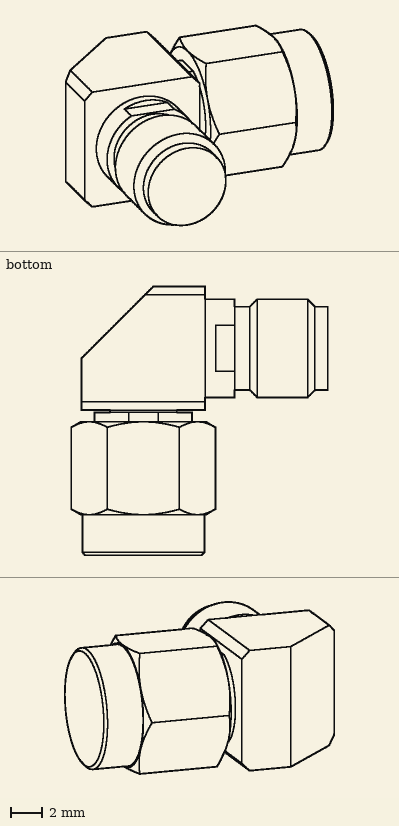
import cadquery as cq
import math


block_side = 7.93
block_height = 8.0
corner_cut = 4.6
block_chamfer = 0.53
block_half = block_side / 2

neck_diameter = 4.31
neck_length = 0.14
collar_diameter = 6.28
collar_length = 0.6
collar_across_flats = 5.98

nut_across_flats = 8.02
hex_length = 5.97
nut_length = 8.57
nose_diameter = 7.85
nose_chamfer = 0.19
hex_chamfer_angle = 30.0
nut_start = block_half + neck_length + collar_length

jack_diameter = 6.31
jack_neck_diameter = 5.36
jack_across_flats = 5.57
flange_length = 0.67
flats_length = 1.2
jack_neck_length = 0.98
cone_length = (jack_diameter - jack_neck_diameter) / 2
barrel_length = 3.22
tip_length = 0.83


def cylinder_along_y(start, diameter, length):
    return cq.Workplane("XZ", origin=(0, start, 0)).circle(diameter / 2).extrude(-length)


def make_collar():
    start = block_half + neck_length
    collar = cylinder_along_y(start, collar_diameter, collar_length)
    flats = cq.Workplane("XY").box(
        collar_diameter, 2 * (start + collar_length), collar_across_flats
    )
    return collar.intersect(flats)


def make_elbow():
    block = cq.Workplane("XY").box(block_side, block_side, block_height)
    block = block.edges("|X").chamfer(block_chamfer)
    corner = (
        cq.Workplane("XY", origin=(0, 0, -block_height / 2))
        .moveTo(-block_half, -block_half)
        .lineTo(-block_half + corner_cut, -block_half)
        .lineTo(-block_half, -block_half + corner_cut)
        .close()
        .extrude(block_height)
    )
    neck = cylinder_along_y(block_half, neck_diameter, neck_length)
    return block.cut(corner).union(neck).union(make_collar())


def make_nut():
    across_corners = nut_across_flats / math.cos(math.radians(30))
    hexagon = (
        cq.Workplane("XZ", origin=(0, nut_start, 0))
        .polygon(6, across_corners)
        .extrude(-hex_length)
    )

    face_radius = nut_across_flats / 2
    corner_radius = across_corners / 2
    bevel = (corner_radius - face_radius) * math.tan(math.radians(hex_chamfer_angle))
    hex_end = nut_start + hex_length
    envelope = (
        cq.Workplane("XY")
        .moveTo(0, nut_start)
        .lineTo(face_radius, nut_start)
        .lineTo(corner_radius, nut_start + bevel)
        .lineTo(corner_radius, hex_end - bevel)
        .lineTo(face_radius, hex_end)
        .lineTo(0, hex_end)
        .close()
        .revolve(360, (0, 0, 0), (0, 1, 0))
    )

    nose = cylinder_along_y(hex_end, nose_diameter, nut_length - hex_length)
    nose = nose.faces(">Y").edges().chamfer(nose_chamfer)
    return hexagon.intersect(envelope).union(nose)


def make_jack():
    flange_end = block_half + flange_length
    flats_end = flange_end + flats_length
    rear_cone_start = flats_end + jack_neck_length
    barrel_start = rear_cone_start + cone_length
    barrel_end = barrel_start + barrel_length
    tip_start = barrel_end + cone_length
    tip_end = tip_start + tip_length
    large_radius = jack_diameter / 2
    small_radius = jack_neck_diameter / 2

    jack = (
        cq.Workplane("XY")
        .moveTo(block_half, 0)
        .lineTo(block_half, large_radius)
        .lineTo(flats_end, large_radius)
        .lineTo(flats_end, small_radius)
        .lineTo(rear_cone_start, small_radius)
        .lineTo(barrel_start, large_radius)
        .lineTo(barrel_end, large_radius)
        .lineTo(tip_start, small_radius)
        .lineTo(tip_end, small_radius)
        .lineTo(tip_end, 0)
        .close()
        .revolve(360, (0, 0, 0), (1, 0, 0))
    )

    flat_depth = (jack_diameter - jack_across_flats) / 2
    flat_center_x = flange_end + flats_length / 2
    flat_center_z = (jack_across_flats + flat_depth) / 2
    for side in (1, -1):
        flat_cut = cq.Workplane("XY", origin=(flat_center_x, 0, side * flat_center_z)).box(
            flats_length, jack_diameter, flat_depth
        )
        jack = jack.cut(flat_cut)
    return jack


elbow = make_elbow()
nut = make_nut()
jack = make_jack()

result = cq.Compound.makeCompound([elbow.val(), nut.val(), jack.val()])